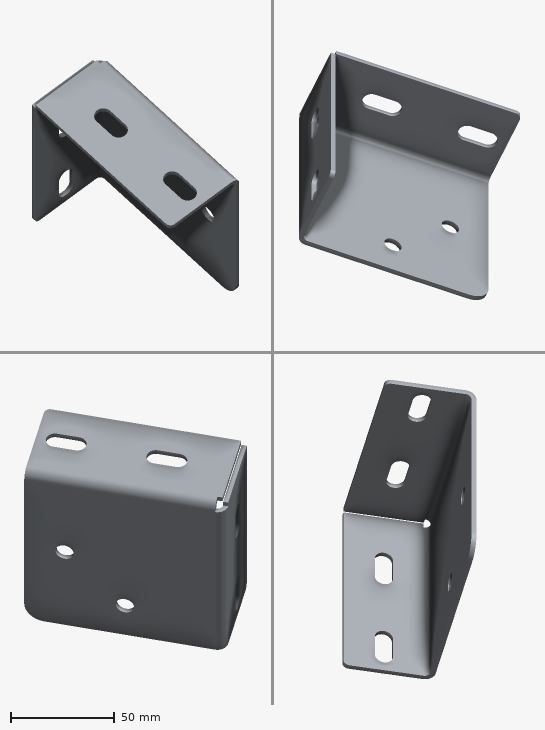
import cadquery as cq

side = 100.0
depth = 45.0
thickness = 2.5
inner_bend_radius = 2.8
outer_bend_radius = inner_bend_radius + thickness
corner_gap = 0.3
flange_start = thickness + corner_gap

plate_corner_radius = 10.0
flange_corner_radius = 3.0

hole_diameter = 9.0
hole_near = 50.0
hole_far = 80.0

slot_length = 20.0
slot_width = 9.0
slot_from_front = 20.0
slot_centers = (35.0, 85.0)


def make_back_plate():
    """Flat plate between the two bends, with its bolt holes."""
    flat = side - outer_bend_radius
    plate = (
        cq.Workplane("XY")
        .box(flat, thickness, flat, centered=False)
        .translate((outer_bend_radius, depth - thickness, -side))
        .edges(">X and <Z")
        .fillet(plate_corner_radius)
    )
    holes = (
        cq.Workplane("XZ")
        .pushPoints([(hole_near, -hole_far), (hole_far, -hole_near)])
        .circle(hole_diameter / 2)
        .extrude(-depth)
    )
    return plate.cut(holes)


def make_bend():
    """Quarter-round bend joining the back plate to the top flange."""
    bend_y = depth - outer_bend_radius
    bend_z = -outer_bend_radius
    ring = (
        cq.Workplane("YZ", origin=(outer_bend_radius, bend_y, bend_z))
        .circle(outer_bend_radius)
        .circle(inner_bend_radius)
        .extrude(side - outer_bend_radius)
    )
    quarter = (
        cq.Workplane("XY")
        .box(side, outer_bend_radius, outer_bend_radius, centered=False)
        .translate((0, bend_y, bend_z))
    )
    return ring.intersect(quarter)


def make_flange():
    """Slotted top flange; its inner end runs past the bend to the corner gap."""
    flange = (
        cq.Workplane("XY")
        .box(side - flange_start, depth - outer_bend_radius, thickness, centered=False)
        .translate((flange_start, 0, -thickness))
        .edges(">X and <Y")
        .fillet(flange_corner_radius)
    )
    slots = (
        cq.Workplane("XY")
        .pushPoints([(center, slot_from_front) for center in slot_centers])
        .slot2D(slot_length, slot_width)
        .extrude(-thickness)
    )
    return flange.cut(slots)


def mirror_to_left(body):
    """Reflect across the plane x + z = 0, turning the top side into the left side."""
    return body.rotate((0, 0, 0), (0, 1, 0), 90).mirror("YZ")


top_side = make_bend().union(make_flange())
left_side = mirror_to_left(top_side)
result = make_back_plate().union(top_side).union(left_side)